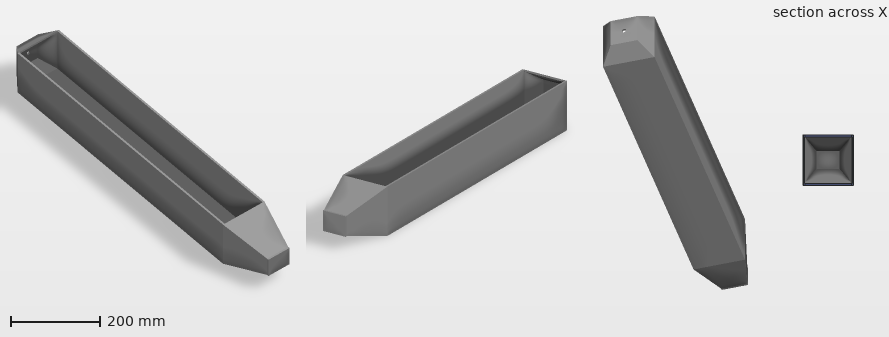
import cadquery as cq
import math

length = 890.0
side = 120.0
sheet = 5.0
nose_length = 39.0
nose_width = 62.0
nose_height = 71.0
hole_diameter = 10.0

trough_end = 766.0
tab_end = 787.0
tip_width = 61.0
tip_height = 50.0

half = side / 2
cap_start = length - sheet
taper_length = cap_start - trough_end
roof_angle = math.atan2((side - tip_height) / 2, taper_length)
side_angle = math.atan2((side - tip_width) / 2, taper_length)
roof_drop = sheet / math.cos(roof_angle)
side_inset = sheet / math.cos(side_angle)
roof_setback = sheet * math.sin(roof_angle)


def block(x_start, x_end, width, height):
    """Box between two X stations, centred on the X axis."""
    return cq.Workplane("XY").box(x_end - x_start, width, height).translate(((x_start + x_end) / 2, 0, 0))


def frustum(x_start, start_width, start_height, x_end, end_width, end_height):
    """Rectangular taper between two X stations, centred on the X axis."""
    return (
        cq.Workplane("YZ", origin=(x_start, 0, 0))
        .rect(start_width, start_height)
        .workplane(offset=x_end - x_start)
        .rect(end_width, end_height)
        .loft(ruled=True, combine=True)
    )


def side_band(y_sign, x_end, outer_depth, inner_depth):
    """Full-height sloping layer of the tail side, between two depths along Y below its outer face."""
    end_y = half - (x_end - trough_end) * math.tan(side_angle)
    outline = [
        (trough_end, y_sign * (half - outer_depth)),
        (x_end, y_sign * (end_y - outer_depth)),
        (x_end, y_sign * (end_y - inner_depth)),
        (trough_end, y_sign * (half - inner_depth)),
    ]
    return cq.Workplane("XY").polyline(outline).close().extrude(half, both=True)


def roof_slab(z_sign):
    """Sloping slab across the hull, with its leading edge cut square to the sheet."""
    inner_edge_z = half - sheet * math.cos(roof_angle)
    outline = [
        (trough_end, z_sign * half),
        (cap_start, z_sign * tip_height / 2),
        (cap_start, z_sign * (tip_height / 2 - roof_drop)),
        (trough_end - roof_setback, z_sign * inner_edge_z),
    ]
    return cq.Workplane("XZ").polyline(outline).close().extrude(half, both=True)


tail_envelope = frustum(trough_end, side, side, cap_start, tip_width, tip_height)


def make_side_tabs(outer_depth, inner_depth):
    """Pair of full-height side layers at the root of the tail."""
    tabs = side_band(1, tab_end, outer_depth, inner_depth)
    tabs = tabs.union(side_band(-1, tab_end, outer_depth, inner_depth))
    return tabs.intersect(tail_envelope)


def make_roof_plate(z_sign, side_joints):
    """Roof or floor plate: between the joints at its root, full tail width beyond them."""
    inner_width = side - 2 * side_inset
    root = block(trough_end - roof_setback, trough_end, inner_width, side)
    return roof_slab(z_sign).intersect(tail_envelope.union(root)).cut(side_joints)


def make_side_plate(y_sign, side_tabs):
    """Tail side plate: a tongue behind the trough's tab, then a panel between roof and floor."""
    plate = side_band(y_sign, cap_start, 0, side_inset).intersect(tail_envelope)
    panel_limits = block(tab_end, cap_start, side, side)
    panel = plate.intersect(panel_limits).cut(roof_slab(1)).cut(roof_slab(-1))
    tongue = plate.cut(panel_limits).cut(side_tabs)
    return tongue.union(panel).clean()


def make_trough(side_tabs, floor_plate):
    """Hollow nose, open-topped channel and bent side tabs in one sheet body."""
    inner = side - 2 * sheet
    nose = frustum(0, nose_width, nose_height, nose_length, side, side)
    nose_cavity = frustum(
        sheet, nose_width - 2 * sheet, nose_height - 2 * sheet, nose_length, inner, inner
    )
    nose = nose.cut(nose_cavity)
    channel = block(nose_length, trough_end, side, side)
    channel = channel.cut(block(nose_length, trough_end, inner, side).translate((0, 0, sheet)))
    hole = cq.Workplane("YZ").circle(hole_diameter / 2).extrude(nose_length)
    return nose.union(channel).union(side_tabs).cut(hole).cut(floor_plate)


side_tabs = make_side_tabs(0, side_inset / 2)
side_joints = make_side_tabs(0, side_inset)
roof_plate = make_roof_plate(1, side_joints)
floor_plate = make_roof_plate(-1, side_joints)
side_plates = [make_side_plate(y_sign, side_tabs) for y_sign in (-1, 1)]
trough = make_trough(side_tabs, floor_plate)
end_cap = block(cap_start, length, tip_width, tip_height)

result = cq.Compound.makeCompound(
    [
        trough.val(),
        roof_plate.val(),
        floor_plate.val(),
        *[plate.val() for plate in side_plates],
        end_cap.val(),
    ]
)